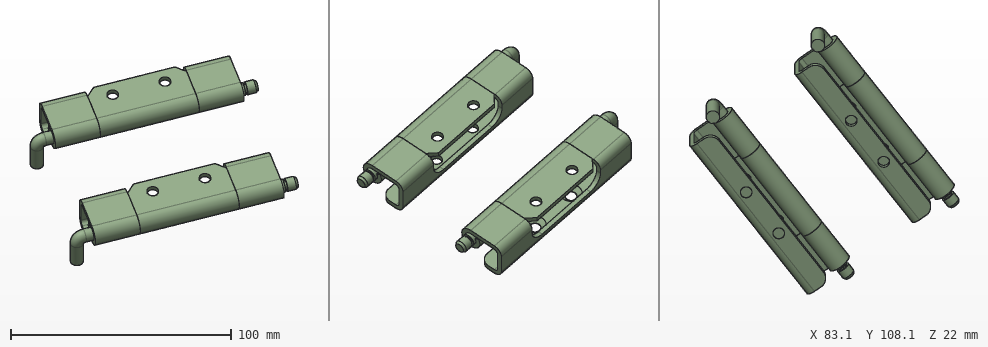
import cadquery as cq
import math


sheet = 2.4
pin_diameter = 6.2
pin_radius = pin_diameter / 2
curl_radius = pin_radius + sheet
curl_end_angle = 149
body_length = 90.0

body_width = 23.9
body_height = 18.9
bend_radius = 4.2
flange_length = 13.1
flange_corner_radius = 5.1
window_length = 47.3
window_depth = 13.4
window_corner_radius = 6.9

leaf_end_gap = 0.1
leaf_setback = 0.8
leaf_chamfer = 4.1

hole_diameter = 5.3
hole_spacing = 25.0
leaf_hole_offset = 7.5
flange_hole_offset = 8.0
countersink_diameter = 10.0
countersink_depth = 2.0

pin_back_overhang = 7.8
pin_front_overhang = 10.3
pin_bend_radius = 3.6
pin_drop = 22.0
pin_tip_chamfer_length = 1.2
pin_tip_chamfer_height = 0.8
head_length = 5.2
groove_width = 1.1
groove_radius = 2.0

hinge_pitch = 59.2

curl_mid_angle = (90 + curl_end_angle - 360) / 2
top = curl_radius
underside = top - sheet
bottom = top - body_height
left = curl_radius - body_width
half_body = body_length / 2
leaf_length = window_length - 2 * leaf_end_gap


def curl_point(radius, angle):
    """Point (x, z) around the pin axis."""
    return radius * math.cos(math.radians(angle)), radius * math.sin(math.radians(angle))


def rolled_plate(left_edge, length):
    """Flat top plate whose right end is rolled around the pin."""
    return (
        cq.Workplane("XZ")
        .moveTo(left_edge, top)
        .lineTo(0, top)
        .threePointArc(curl_point(curl_radius, curl_mid_angle), curl_point(curl_radius, curl_end_angle))
        .lineTo(*curl_point(pin_radius, curl_end_angle))
        .threePointArc(curl_point(pin_radius, curl_mid_angle), (0, underside))
        .lineTo(left_edge, underside)
        .close()
        .extrude(length / 2, both=True)
    )


def side_channel():
    """Left wall with bent corners, ending in the lower flange and a stub of the top plate."""
    flange_end = left + flange_length
    blank = (
        cq.Workplane("XZ")
        .moveTo(flange_end, bottom)
        .lineTo(left, bottom)
        .lineTo(left, top)
        .lineTo(flange_end, top)
        .lineTo(flange_end, underside)
        .lineTo(left + sheet, underside)
        .lineTo(left + sheet, bottom + sheet)
        .lineTo(flange_end, bottom + sheet)
        .close()
        .extrude(half_body, both=True)
    )
    inner_corners = cq.selectors.BoxSelector(
        (left + sheet / 2, -half_body, bottom + sheet / 2),
        (left + 2 * sheet, half_body, top - sheet / 2),
    )
    return (
        blank.edges("|Y and <X")
        .fillet(bend_radius)
        .edges(inner_corners)
        .edges("|Y")
        .fillet(bend_radius - sheet)
    )


def screw_positions(offset):
    """Hole centres at the given distance from the outer side of the bracket."""
    return [(left + offset, side * hole_spacing / 2) for side in (-1, 1)]


def bracket_plate():
    """Rolled top plate of the bracket, parted in the middle to make room for the leaf."""
    leaf_space = cq.Workplane("XY").box(2 * body_width, window_length, 2 * body_height)
    return rolled_plate(left + bend_radius, body_length).cut(leaf_space)


def wall_window():
    """Cutter for the opening in the left wall, rounded at its lower corners."""
    return (
        cq.Workplane("XY")
        .box(2 * body_width, window_length, 2 * window_depth)
        .edges("|X")
        .fillet(window_corner_radius)
        .translate((0, 0, top))
    )


def countersink(x, y):
    """Cone that widens a flange hole towards the inside of the bracket."""
    cone = cq.Solid.makeCone(
        hole_diameter / 2,
        countersink_diameter / 2,
        countersink_depth,
        pnt=cq.Vector(x, y, bottom + sheet - countersink_depth),
    )
    return cq.Workplane(cone)


def make_bracket(countersunk):
    """Fixed bracket: side channel with a window, lower flange with two holes, parted top plate."""
    flange_corners = cq.selectors.BoxSelector(
        (left + flange_length - sheet, -body_length, bottom - sheet),
        (left + flange_length + sheet, body_length, bottom + 2 * sheet),
    )
    channel = side_channel().edges(flange_corners).edges("|Z").fillet(flange_corner_radius)
    bracket = channel.cut(wall_window()).union(bracket_plate())
    holes = cq.Workplane("XY", origin=(0, 0, bottom)).pushPoints(screw_positions(flange_hole_offset))
    bracket = bracket.cut(holes.circle(hole_diameter / 2).extrude(sheet))
    if countersunk:
        for x, y in screw_positions(flange_hole_offset):
            bracket = bracket.cut(countersink(x, y))
    return bracket


def make_leaf():
    """Hinge leaf that turns on the pin inside the window."""
    leaf = rolled_plate(left + leaf_setback, leaf_length)
    leaf = leaf.edges("|Z and <X").chamfer(leaf_chamfer)
    holes = cq.Workplane("XY", origin=(0, 0, top)).pushPoints(screw_positions(leaf_hole_offset))
    return leaf.cut(holes.circle(hole_diameter / 2).extrude(-sheet))


def make_pin():
    """Pin with a grooved, chamfered head and an arm bent down at the front."""
    back = half_body + pin_back_overhang
    arm_y = -half_body - pin_front_overhang + pin_radius
    bend_start = arm_y + pin_bend_radius
    tip = top - pin_drop
    bend_mid = pin_bend_radius * (1 - math.sqrt(0.5))
    path = (
        cq.Workplane("YZ")
        .moveTo(back, 0)
        .lineTo(bend_start, 0)
        .threePointArc((arm_y + bend_mid, -bend_mid), (arm_y, -pin_bend_radius))
        .lineTo(arm_y, tip)
    )
    pin = cq.Workplane("XZ", origin=(0, back, 0)).circle(pin_radius).sweep(path)
    pin = pin.faces(">Y").chamfer(pin_tip_chamfer_length, pin_tip_chamfer_height)
    groove = (
        cq.Workplane("XZ", origin=(0, back - head_length, 0))
        .circle(2 * pin_radius)
        .circle(groove_radius)
        .extrude(groove_width)
    )
    return pin.cut(groove)


bodies = []
for x, countersunk in ((0, True), (hinge_pitch, False)):
    bracket = make_bracket(countersunk)
    leaf = make_leaf()
    pin = make_pin()
    for body in (bracket, leaf, pin):
        bodies.append(body.translate((x, 0, 0)).solids().val())

result = cq.Compound.makeCompound(bodies)